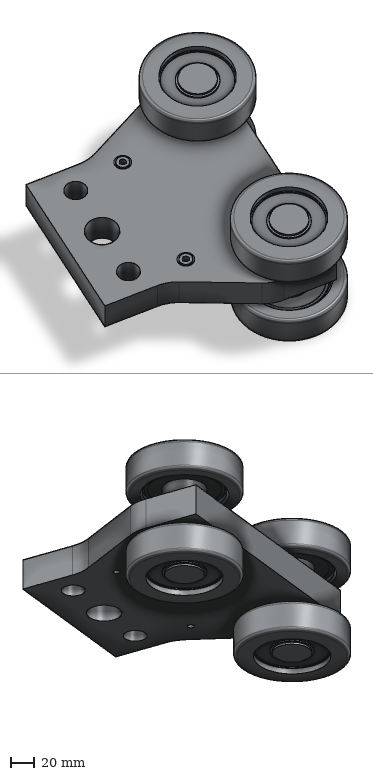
import cadquery as cq
plate_thickness = 28.0
plate_length = 200.0
foot_width = 150.0
roller_spacing = 174.0
roller_edge_distance = 30.0
taper_foot_y = 140.0
taper_head_y = 60.0
taper_radius = 40.0

foot_hole_y = 35.0
center_hole_diameter = 30.0
side_hole_diameter = 20.3
side_hole_x = 50.0

screw_x = 60.0
screw_y = 85.0
screw_hole_diameter = 6.0
seat_diameter = 12.0
seat_rim_diameter = 15.0
seat_depth = 1.5
plug_height = 0.5

roller_diameter = 100.0
roller_width = 28.5
roller_fillet = 3.0
roller_gap = 11.5
outer_bore_diameter = 66.0
outer_bore_depth = 5.2
bearing_diameter = 72.0
bearing_width = 19.0
bearing_chamfer = 1.6
inner_rim_diameter = 76.0
inner_rim_depth = 2.0
shield_diameter = 63.5
shield_depth = 1.0

axle_diameter = 38.3
cap_diameter = 38.0
cap_top_diameter = 34.0
cap_top_depth = 3.0
cap_step = 2.0

plate_top_z = plate_thickness / 2
roller_inner_z = plate_top_z + roller_gap
roller_outer_z = roller_inner_z + roller_width
roller_y = plate_length - roller_edge_distance
head_half_width = roller_spacing / 2 + roller_edge_distance
inner_bore_depth = roller_width - outer_bore_depth - bearing_width


def disc(diameter, bottom_z, height):
    return cq.Workplane("XY").workplane(offset=bottom_z).circle(diameter / 2).extrude(height)


def cone(bottom_diameter, top_diameter, bottom_z, height):
    base = cq.Workplane("XY").workplane(offset=bottom_z).circle(bottom_diameter / 2)
    return base.workplane(offset=height).circle(top_diameter / 2).loft()


def make_plate():
    half_foot = foot_width / 2
    outline = [
        (-half_foot, 0),
        (half_foot, 0),
        (half_foot, taper_head_y),
        (head_half_width, taper_foot_y),
        (head_half_width, plate_length),
        (-head_half_width, plate_length),
        (-head_half_width, taper_foot_y),
        (-half_foot, taper_head_y),
    ]
    plate = cq.Workplane("XY").polyline(outline).close().extrude(plate_thickness / 2, both=True)
    for corner_y in (taper_head_y, taper_foot_y):
        band = cq.selectors.BoxSelector(
            (-roller_spacing, corner_y - 2.7, -plate_thickness),
            (roller_spacing, corner_y + 2.7, plate_thickness))
        plate = plate.edges("|Z").edges(band).fillet(taper_radius)
    return plate


def cut_plate_holes(plate):
    through = disc(center_hole_diameter, -plate_thickness, 2 * plate_thickness)
    plate = plate.cut(through.translate((0, foot_hole_y, 0)))
    side_hole = disc(side_hole_diameter, -plate_thickness, 2 * plate_thickness)
    screw_hole = disc(screw_hole_diameter, -plate_thickness, 2 * plate_thickness)
    seat = cone(seat_diameter, seat_rim_diameter, plate_top_z - seat_depth, seat_depth)
    plug = disc(seat_diameter, plate_top_z - seat_depth, seat_depth + plug_height)
    for side in (-1, 1):
        screw_place = (side * screw_x, screw_y, 0)
        plate = plate.cut(side_hole.translate((side * side_hole_x, foot_hole_y, 0)))
        plate = plate.cut(seat.translate(screw_place))
        plate = plate.union(plug.translate(screw_place))
        plate = plate.cut(screw_hole.translate(screw_place))
    return plate


def make_upper_roller():
    """Roller above the plate with its bearing recesses and axle, on the Z axis."""
    roller = disc(roller_diameter, roller_inner_z, roller_width).edges().fillet(roller_fillet)

    outer_bearing_z = roller_outer_z - outer_bore_depth
    roller = roller.cut(disc(outer_bore_diameter, outer_bearing_z, outer_bore_depth))
    roller = roller.cut(disc(shield_diameter, outer_bearing_z - shield_depth, shield_depth))

    inner_bearing_z = roller_inner_z + inner_bore_depth
    roller = roller.cut(disc(bearing_diameter, roller_inner_z, inner_bore_depth))
    roller = roller.cut(cone(inner_rim_diameter, bearing_diameter, roller_inner_z, inner_rim_depth))
    bearing_edge = cone(
        bearing_diameter - 2 * bearing_chamfer, bearing_diameter, inner_bearing_z, bearing_chamfer)
    edge_groove = disc(bearing_diameter, inner_bearing_z, bearing_chamfer).cut(bearing_edge)
    roller = roller.cut(edge_groove)
    roller = roller.cut(disc(shield_diameter, inner_bearing_z, shield_depth))

    axle = disc(axle_diameter, 0, inner_bearing_z + shield_depth)
    cap_top_z = roller_outer_z - cap_top_depth
    cap_base_z = cap_top_z - cap_step
    cap = disc(cap_diameter, inner_bearing_z, cap_base_z - inner_bearing_z)
    cap = cap.union(disc(cap_top_diameter, cap_base_z, cap_step))
    return roller.union(axle).union(cap)


result = cut_plate_holes(make_plate())
upper_roller = make_upper_roller()
lower_roller = upper_roller.mirror("XY")
for side in (-1, 1):
    for roller in (upper_roller, lower_roller):
        result = result.union(roller.translate((side * roller_spacing / 2, roller_y, 0)))